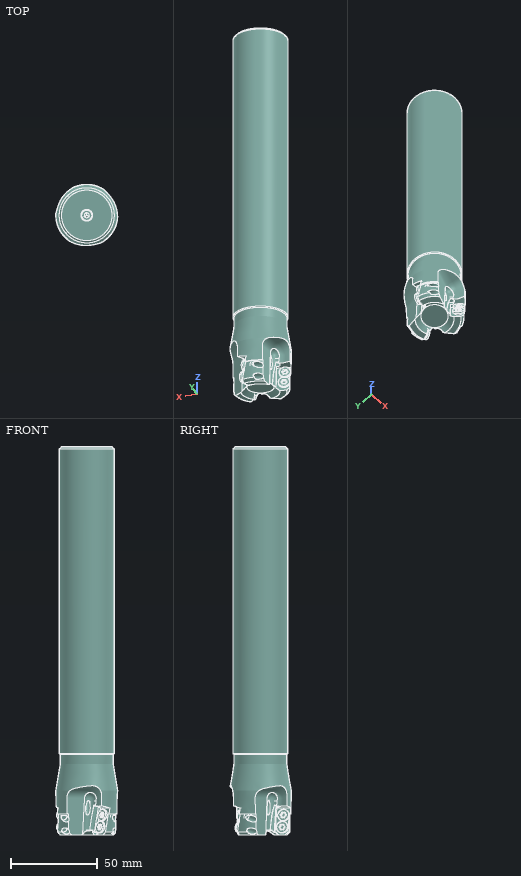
import cadquery as cq
import math


length = 225.6
shank_radius = 16.0
shank_start = 47.0
neck_radius = 15.45
neck_start = 41.3
head_radius = 18.0
head_top = 26.0
step_radius = 17.8
step_height = 12.5
tip_radius = 17.1
tip_chamfer = 1.8
shank_top_chamfer = 1.4

dish_depth = 3.0
dish_mouth_radius = 11.3
dish_floor_radius = 8.0

bore_radius = 3.0
bore_mouth_radius = 3.4
bore_end = 38.1
branch_radius = 1.4
branch_angle = 20.0
branch_length = 31.5
branch_turn = -25.0

flute_angles = (60, 180, 300)
flute_floor = 9.3
flute_side = 1.1
flute_floor_turn = 9.5
flute_height = 25.7
flute_ceiling_slope = 20.0
flute_round = 5.9
flute_reach = 27.0
overshoot = 4.5

gully_radius = 3.5
gully_offset = 10.8
gully_side = -3.8
gully_top = 21.5
gully_tilt = 4.0

clearance_radius = 1.8
clearance_radial = 9.7
clearance_side = -2.5
clearance_top = 20.0

axial_rake = 12.0
seat_lean = 10.0
seat_at_tip = 1.8
pocket_inner = 8.5
pocket_top = 15.8
pocket_depth = 11.3

screw_radial = 13.8
screw_heights = (4.3, 11.3)
screw_shaft_radius = 1.8
screw_head_radius = 3.4
screw_rim = 1.1
screw_cone = 1.4
screw_depth = 2.7
screw_hole_length = 13.5
socket_radius = 1.4
socket_lobe_radius = 0.5
socket_depth = 1.4
socket_lobes = 6


def turn_about_axis(shape, angle):
    return shape.rotate((0, 0, 0), (0, 0, 1), angle)


def turned_body():
    """Shank, neck, cone and cutting head as one revolved outline."""
    outline = (
        cq.Workplane("XZ")
        .moveTo(0, 0)
        .lineTo(tip_radius - tip_chamfer, 0)
        .lineTo(tip_radius, tip_chamfer)
        .lineTo(tip_radius, step_height)
        .lineTo(step_radius, step_height)
        .lineTo(head_radius, head_top)
        .lineTo(neck_radius, neck_start)
        .lineTo(neck_radius, shank_start)
        .lineTo(shank_radius, shank_start + shank_radius - neck_radius)
        .lineTo(shank_radius, length - shank_top_chamfer)
        .lineTo(shank_radius - shank_top_chamfer, length)
        .lineTo(0, length)
        .close()
    )
    return outline.revolve(360, (0, 0), (0, 1))


def end_dish():
    """Conical recess that clears the core between the teeth."""
    return cq.Workplane("XY").add(
        cq.Solid.makeCone(dish_mouth_radius, dish_floor_radius, dish_depth)
    )


def coolant_bore():
    """Blind bore down the shank with a chamfered mouth."""
    mouth_chamfer = bore_mouth_radius - bore_radius
    outline = (
        cq.Workplane("XZ")
        .moveTo(0, bore_end)
        .lineTo(bore_radius, bore_end)
        .lineTo(bore_radius, length - mouth_chamfer)
        .lineTo(bore_mouth_radius, length)
        .lineTo(0, length)
        .close()
    )
    return outline.revolve(360, (0, 0), (0, 1))


def coolant_branch():
    """Angled hole from the end of the bore to the flute floor."""
    tilt = math.radians(branch_angle)
    direction = cq.Vector(math.sin(tilt), 0, -math.cos(tilt))
    start = cq.Vector(0, 0, bore_end)
    drill = cq.Solid.makeCylinder(branch_radius, branch_length, start, direction)
    return turn_about_axis(cq.Workplane("XY").add(drill), branch_turn)


def flute():
    """Chip space with a rounded inner end, open outward and at the tip."""
    ceiling_rise = flute_reach * math.tan(math.radians(flute_ceiling_slope))
    space = (
        cq.Workplane("XZ")
        .moveTo(0, -overshoot)
        .lineTo(0, flute_height)
        .lineTo(flute_reach, flute_height + ceiling_rise)
        .lineTo(flute_reach, -overshoot)
        .close()
        .extrude(flute_reach)
    )
    inner_corner = cq.selectors.NearestToPointSelector((0, 0, flute_height))
    space = space.vertices(inner_corner).ancestors("Edge").fillet(flute_round)
    return space.rotate((0, 0, 0), (0, 0, 1), -flute_floor_turn).translate((flute_floor, flute_side, 0))


def gully():
    """Ball-ended groove along the flute floor, beside the tooth."""
    groove = (
        cq.Workplane("XY", origin=(0, 0, -overshoot))
        .circle(gully_radius)
        .extrude(gully_top + overshoot)
        .union(cq.Workplane("XY").sphere(gully_radius).translate((0, 0, gully_top)))
    )
    groove = groove.rotate((0, 0, gully_top), (1, 0, gully_top), -gully_tilt)
    return groove.translate((gully_offset, gully_side, 0))


def seat_plane(radial, height):
    """Plane on the raked and leaning insert seat, its normal pointing into the flute."""
    rake = math.radians(axial_rake)
    lean = math.radians(seat_lean)
    rake_offset = height * math.tan(rake) / math.cos(lean)
    lean_offset = (radial - screw_radial) * math.tan(lean)
    return cq.Plane(
        origin=(radial, seat_at_tip + rake_offset + lean_offset, height),
        xDir=(math.cos(lean), math.sin(lean), 0),
        normal=(math.sin(lean), -math.cos(lean), math.tan(rake)),
    )


def insert_pocket():
    """Raked step in the tooth face with a flat seat, an inner wall and a top wall."""
    return (
        cq.Workplane(seat_plane(pocket_inner, pocket_top))
        .rect(flute_reach, -flute_reach, centered=False)
        .extrude(pocket_depth)
    )


def clearance_groove():
    """Flat-ended groove along the inner edge of the pocket, following the axial rake."""
    groove = (
        cq.Workplane("XY", origin=(0, 0, -overshoot))
        .circle(clearance_radius)
        .extrude(clearance_top + overshoot)
    )
    groove = groove.rotate((0, 0, 0), (1, 0, 0), -axial_rake)
    return groove.translate((clearance_radial, clearance_side, 0))


def screw_hole(height):
    """Hole square to the seat, through to the back of the tooth."""
    seat = cq.Workplane(seat_plane(screw_radial, height))
    return seat.circle(screw_shaft_radius).extrude(-screw_hole_length)


def insert_screw(height):
    """Countersunk screw with a six-lobe socket, its head resting on the seat."""
    plane = seat_plane(screw_radial, height)
    top = cq.Workplane(plane).workplane(offset=screw_rim + screw_cone)
    rim = top.circle(screw_head_radius).extrude(-screw_rim)
    cone = (
        top.workplane(offset=-screw_rim)
        .circle(screw_head_radius)
        .workplane(offset=-screw_cone)
        .circle(screw_shaft_radius)
        .loft()
    )
    shaft = cq.Workplane(plane).circle(screw_shaft_radius).extrude(-screw_depth)
    socket = top.circle(socket_radius).extrude(-socket_depth)
    lobes = (
        top.polarArray(socket_radius, 0, 360, socket_lobes)
        .circle(socket_lobe_radius)
        .extrude(-socket_depth)
    )
    return rim.union(cone).union(shaft).cut(socket).cut(lobes)


cutter_body = turned_body().cut(end_dish()).cut(coolant_bore())
for angle in flute_angles:
    for cutter in (flute(), gully(), insert_pocket(), clearance_groove(), coolant_branch()):
        cutter_body = cutter_body.cut(turn_about_axis(cutter, angle))
    for height in screw_heights:
        cutter_body = cutter_body.cut(turn_about_axis(screw_hole(height), angle))

insert_screws = []
for angle in flute_angles:
    for height in screw_heights:
        insert_screws.append(turn_about_axis(insert_screw(height), angle).val())

result = cq.Compound.makeCompound([cutter_body.val(), *insert_screws])